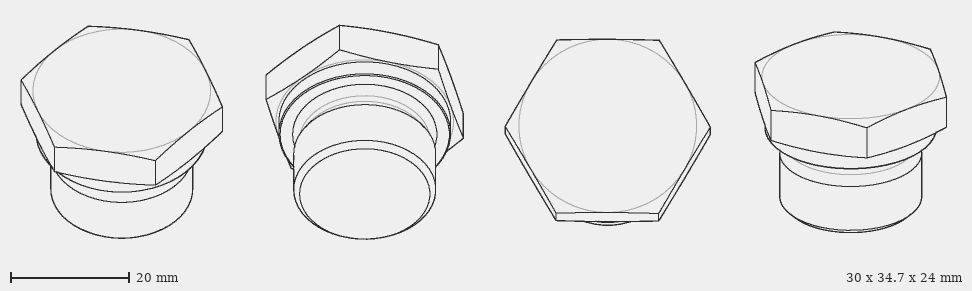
import cadquery as cq
import math

corner_width = 34.65
flat_width = corner_width * math.cos(math.radians(30))
head_height = 7.0
head_bevel_angle = math.radians(15)

flange_radius = 29.0 / 2
flange_height = 3.0
flange_chamfer = 0.2

total_height = 24.0
shank_radius = 24.0 / 2
shank_top = 9.4
shank_chamfer = 1.0
neck_radius = 10.85
groove_round = 1.18
lower_cone_angle = math.radians(30)
upper_cone_angle = math.radians(35)

head_bottom = total_height - head_height
flange_bottom = head_bottom - flange_height


def make_head():
    """Hexagon with corners on the Y axis, bevelled at both ends by a cone."""
    hexagon = (
        cq.Workplane("XY")
        .workplane(offset=head_bottom)
        .polygon(6, corner_width)
        .extrude(head_height)
        .rotate((0, 0, 0), (0, 0, 1), 30)
    )
    flat_radius = flat_width / 2
    corner_radius = corner_width / 2
    bevel_drop = (corner_radius - flat_radius) * math.tan(head_bevel_angle)
    bevel_envelope = (
        cq.Workplane("XZ")
        .moveTo(0, head_bottom)
        .lineTo(flat_radius, head_bottom)
        .lineTo(corner_radius, head_bottom + bevel_drop)
        .lineTo(corner_radius, total_height - bevel_drop)
        .lineTo(flat_radius, total_height)
        .lineTo(0, total_height)
        .close()
        .revolve()
    )
    return hexagon.intersect(bevel_envelope)


def make_turned_body():
    """Shank, rounded relief groove and flange turned about the Z axis."""
    arc_center_radius = neck_radius + groove_round
    arc_low_radius = arc_center_radius - groove_round * math.cos(lower_cone_angle)
    arc_high_radius = arc_center_radius - groove_round * math.cos(upper_cone_angle)
    arc_low_z = shank_top + (shank_radius - arc_low_radius) / math.tan(lower_cone_angle)
    neck_z = arc_low_z + groove_round * math.sin(lower_cone_angle)
    arc_high_z = neck_z + groove_round * math.sin(upper_cone_angle)
    cone_top_radius = arc_high_radius + (flange_bottom - arc_high_z) * math.tan(upper_cone_angle)

    return (
        cq.Workplane("XZ")
        .moveTo(0, 0)
        .lineTo(shank_radius - shank_chamfer, 0)
        .lineTo(shank_radius, shank_chamfer)
        .lineTo(shank_radius, shank_top)
        .lineTo(arc_low_radius, arc_low_z)
        .threePointArc((neck_radius, neck_z), (arc_high_radius, arc_high_z))
        .lineTo(cone_top_radius, flange_bottom)
        .lineTo(flange_radius - flange_chamfer, flange_bottom)
        .lineTo(flange_radius, flange_bottom + flange_chamfer)
        .lineTo(flange_radius, head_bottom)
        .lineTo(0, head_bottom)
        .close()
        .revolve()
    )


result = make_turned_body().union(make_head())